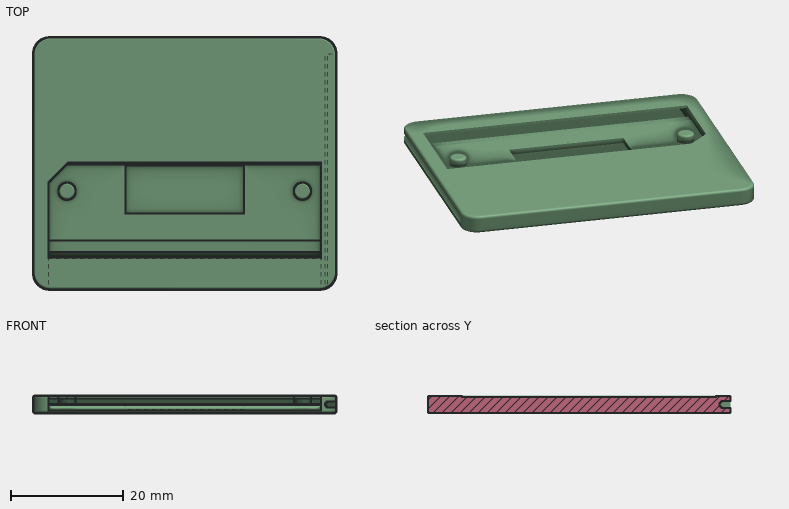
import cadquery as cq

length = 54.0
width = 45.0
thickness = 3.2
corner_radius = 3.0
edge_round = 0.5

side_margin = 2.7
window_front = 5.7
window_back = 22.6
corner_cut = 3.55
bevel_run = 0.3
bevel_drop = 0.55
cavity_left = side_margin
cavity_right = length - side_margin
cavity_back = window_back - bevel_run

mouth_floor = edge_round
mouth_ceiling = thickness - edge_round
ramp_top = 1.45
deck_level = 1.7
ramp_back = 6.75
ramp_run = 1.2
deck_front = 8.75

recess_length = 21.05
recess_front = 13.6
recess_back = 22.15
recess_floor = 0.7

peg_diameter = 3.1
peg_inset = 6.05
peg_y = 17.55
peg_round = 0.45

groove_depth = 2.0
groove_height = 1.15
groove_chamfer = 0.45


def make_plate():
    plate = cq.Workplane("XY").box(length, width, thickness, centered=False)
    return plate.edges("|Z").fillet(corner_radius).faces("<Z or >Z").edges().fillet(edge_round)


def extrude_profile_along_x(profile, start_x, end_x):
    """Extrude a closed list of (y, z) points between two X positions."""
    return cq.Workplane("YZ").workplane(offset=start_x).polyline(profile).close().extrude(end_x - start_x)


def make_cavity():
    """Stepped void reaching from the front mouth, under the top skin, to the window."""
    profile = [
        (0, mouth_floor),
        (ramp_back - ramp_run, mouth_floor),
        (ramp_back, ramp_top),
        (deck_front, ramp_top),
        (deck_front, deck_level),
        (cavity_back, deck_level),
        (cavity_back, thickness - bevel_drop),
        (window_back, thickness),
        (window_front, thickness),
        (window_front, mouth_ceiling),
        (0, mouth_ceiling),
    ]
    cavity = extrude_profile_along_x(profile, cavity_left, cavity_right)
    corner = (
        cq.Workplane("XY")
        .moveTo(cavity_left, window_back)
        .lineTo(cavity_left + corner_cut, window_back)
        .lineTo(cavity_left, window_back - corner_cut)
        .close()
        .extrude(thickness)
    )
    return cavity.cut(corner)


def make_recess():
    return (
        cq.Workplane("XY")
        .box(recess_length, recess_back - recess_front, deck_level - recess_floor, centered=False)
        .translate(((length - recess_length) / 2, recess_front, recess_floor))
    )


def make_pegs():
    return (
        cq.Workplane("XY")
        .workplane(offset=deck_level)
        .pushPoints([(peg_inset, peg_y), (length - peg_inset, peg_y)])
        .circle(peg_diameter / 2)
        .extrude(thickness - deck_level)
        .faces(">Z")
        .edges()
        .fillet(peg_round)
    )


def make_side_groove():
    """Groove open at the front corner and closed before the back corner."""
    groove_length = width - corner_radius
    return (
        cq.Workplane("XY")
        .box(groove_depth, groove_length, groove_height, centered=False)
        .edges("|Y and <X")
        .chamfer(groove_chamfer)
        .translate((length - groove_depth, 0, (thickness - groove_height) / 2))
    )


result = (
    make_plate()
    .cut(make_cavity())
    .cut(make_recess())
    .cut(make_side_groove())
    .union(make_pegs())
)